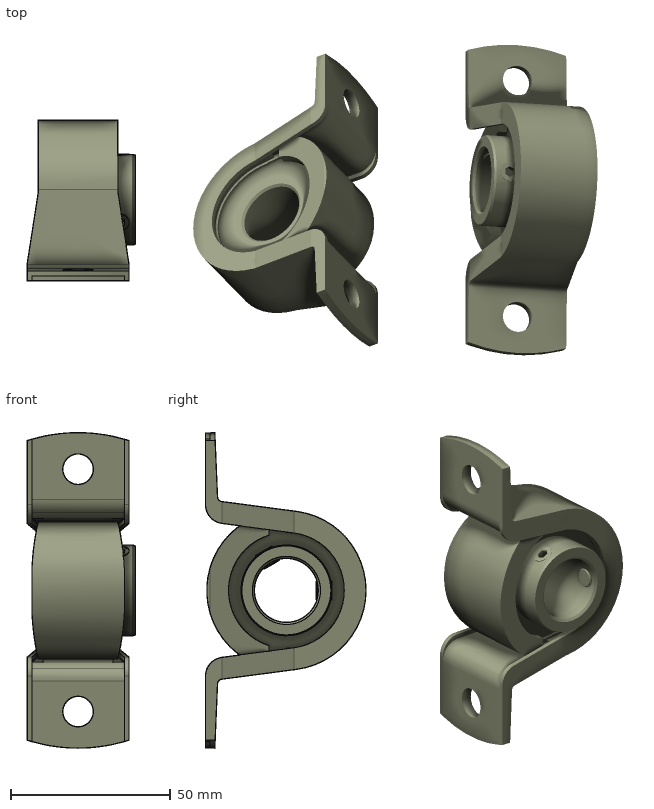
import cadquery as cq
import math


strap_outer_radius = 25.0
strap_inner_radius = 18.15
leg_angle = math.radians(7.5)
base_height = 25.41
foot_span = 99.0
foot_end_radius = 52.0
foot_end_thickness = 3.0
foot_bend_thickness = 3.9
bend_radius = 6.0
back_bend_radius = 1.5
ring_width = 25.0
foot_width = 32.0
sheet = 1.5
bolt_hole_diameter = 9.5
bolt_hole_spacing = 76.0

cradle_radius = 25.0
neck_half_width = ring_width / 2 - sheet
block_half_width = foot_width / 2 - sheet
block_start_y = -5.5
block_taper_end_y = -24.0
lip_half_width = 9.1
lip_thickness = 0.9
ring_wall = 1.5
ring_recess = 0.75
ring_flange_end_y = -2.5

bore_diameter = 20.0
bore_chamfer = 0.7
inner_ring_diameter = 28.5
outer_ring_diameter = 40.5
outer_ring_width = 14.0
collar_end_x = 18.0
collar_chamfer_length = 0.7
collar_chamfer_depth = 0.3

screw_diameter = 6.0
screw_point_diameter = 5.46
screw_x = 13.0
screw_tip_radius = 9.25
screw_head_radius = 14.3
socket_width = 3.0
socket_depth = 2.5
socket_sides = 6
screw_angles = (0.0, 120.0)

panel_radius = strap_inner_radius + sheet
base_y = -base_height
foot_plate_top_y = base_y + sheet
foot_end_z = foot_span / 2
bend_start_y = base_y + bend_radius * (1 - math.sin(leg_angle))
taper_start_y = strap_inner_radius * math.sin(leg_angle)
ring_outer_radius = outer_ring_diameter / 2 + ring_wall
bearing_back_x = -outer_ring_width / 2
margin = 1.0
pick_range = 0.1


def leg_z(radius, y):
    """Height at y of the leg line that is tangent to a circle of this radius."""
    return (radius - y * math.sin(leg_angle)) / math.cos(leg_angle)


def tangent_point(radius):
    """Point where the upper leg line leaves its circle."""
    return radius * math.sin(leg_angle), radius * math.cos(leg_angle)


def below(point):
    """Mirror image of a YZ point on the -Z side."""
    return point[0], -point[1]


def disc(radius, x_start, x_end):
    """Cylinder around the shaft axis."""
    return cq.Workplane("YZ", origin=(x_start, 0, 0)).circle(radius).extrude(x_end - x_start)


def plan_prism(points):
    """Full-height prism over an XY outline given by its +X half, mirrored to -X."""
    outline = points + [(-x, y) for x, y in reversed(points)]
    return cq.Workplane("XY", origin=(0, 0, -foot_span)).polyline(outline).close().extrude(2 * foot_span)


def slab(y_start, y_end, half_width):
    """Full-height box between two Y levels, centred on X."""
    return plan_prism([(half_width, y_end), (half_width, y_start)])


def strap_profile(inner_radius):
    """Omega-shaped strap of full foot width, with its bends rounded."""
    back_end = (base_y + foot_end_thickness, foot_end_z)
    back_bend_y = base_y + foot_bend_thickness
    back_bend = (back_bend_y, leg_z(strap_outer_radius, back_bend_y))
    outer_tangent = tangent_point(strap_outer_radius)
    inner_tangent = tangent_point(inner_radius)
    base_end = (base_y, foot_end_z)
    base_bend = (base_y, leg_z(inner_radius, base_y))
    solid = (
        cq.Workplane("YZ", origin=(-foot_width / 2, 0, 0))
        .moveTo(*base_end)
        .lineTo(*back_end)
        .lineTo(*back_bend)
        .lineTo(*outer_tangent)
        .threePointArc((strap_outer_radius, 0), below(outer_tangent))
        .lineTo(*below(back_bend))
        .lineTo(*below(back_end))
        .lineTo(*below(base_end))
        .lineTo(*below(base_bend))
        .lineTo(*below(inner_tangent))
        .threePointArc((inner_radius, 0), inner_tangent)
        .lineTo(*base_bend)
        .close()
        .extrude(foot_width)
    )
    for corner, radius in ((base_bend, bend_radius), (back_bend, back_bend_radius)):
        for y, z in (corner, below(corner)):
            low = (-pick_range, y - pick_range, z - pick_range)
            high = (pick_range, y + pick_range, z + pick_range)
            bend_edge = cq.selectors.BoxSelector(low, high)
            solid = solid.edges("|X").edges(bend_edge).fillet(radius)
    return solid


def strap_plan(inset):
    """Plan of the strap: narrow at the ring, widening along the legs to the feet."""
    ring_half = ring_width / 2 - inset
    foot_half = foot_width / 2 - inset
    return plan_prism(
        [
            (ring_half, strap_outer_radius + margin),
            (ring_half, taper_start_y),
            (foot_half, bend_start_y),
            (foot_half, base_y - margin),
        ]
    )


def foot_outline():
    """Front outline of the whole strap, with arched foot ends."""
    half = foot_width / 2
    corner_z = foot_end_z - foot_end_radius + math.sqrt(foot_end_radius**2 - half**2)
    depth = 2 * base_height
    return (
        cq.Workplane("XZ", origin=(0, depth, 0))
        .moveTo(-half, -corner_z)
        .lineTo(-half, corner_z)
        .threePointArc((0, foot_end_z), (half, corner_z))
        .lineTo(half, -corner_z)
        .threePointArc((0, -foot_end_z), (-half, -corner_z))
        .close()
        .extrude(2 * depth)
    )


def bolt_holes():
    """Cutting cylinders for the bolt hole in each foot."""
    depth = 2 * base_height
    half_spacing = bolt_hole_spacing / 2
    return (
        cq.Workplane("XZ", origin=(0, depth, 0))
        .pushPoints([(0, half_spacing), (0, -half_spacing)])
        .circle(bolt_hole_diameter / 2)
        .extrude(2 * depth)
    )


def make_housing_blank():
    """Strap with raised side rims, before the cradle is let into it."""
    web = strap_profile(panel_radius)
    rims = strap_profile(strap_inner_radius).cut(strap_plan(sheet))
    return web.union(rims).intersect(strap_plan(0)).intersect(foot_outline()).cut(bolt_holes())


def bearing_seat():
    """Space inside the cradle: the lip opening and the wider bearing seat behind the lips.

    The opening follows the bore below the bearing and the inside of the strap legs above the block.
    """
    seat_half = lip_half_width - lip_thickness
    bore = disc(strap_inner_radius, -foot_width, foot_width)
    between_legs = slab(block_start_y, 0, foot_width).cut(strap_profile(strap_inner_radius))
    between_legs = between_legs.intersect(disc(cradle_radius, -foot_width, foot_width))
    seat = disc(outer_ring_diameter / 2, -seat_half, seat_half)
    return bore.union(between_legs).union(seat)


def make_cradle():
    """Block below the bearing, ring around it, and two necks that lead to the foot plates."""
    web = strap_profile(panel_radius)
    channel = strap_plan(sheet)
    flush = web.intersect(foot_outline()).cut(bolt_holes()).intersect(channel)

    foot_plates = flush.intersect(slab(base_y - margin, foot_plate_top_y, foot_width))
    lining = flush.cut(strap_profile(panel_radius + sheet))
    bends = lining.intersect(slab(foot_plate_top_y, bend_start_y, foot_width))
    necks = lining.intersect(slab(bend_start_y, block_start_y, neck_half_width))

    block_plan = plan_prism(
        [
            (neck_half_width, block_start_y),
            (block_half_width, block_taper_end_y),
            (block_half_width, base_y - margin),
        ]
    )
    block = disc(cradle_radius, -foot_width / 2, foot_width / 2)
    block = block.intersect(block_plan).intersect(slab(-cradle_radius, 0, foot_width)).cut(web)

    ring = disc(ring_outer_radius, -lip_half_width, lip_half_width)
    ring_flange = strap_profile(strap_inner_radius + ring_recess)
    ring_flange = ring_flange.intersect(disc(ring_outer_radius, -neck_half_width, neck_half_width))
    ring_flange = ring_flange.intersect(slab(ring_flange_end_y, strap_outer_radius, neck_half_width))

    cradle = block.union(ring).union(ring_flange).union(necks).cut(bearing_seat())
    return cradle.union(bends, clean=False).union(foot_plates, clean=False)


def place_on_collar(shape, angle):
    """Move a shape built on +Z to the screw station and turn it to its angle about X."""
    return shape.translate((screw_x, 0, 0)).rotate((0, 0, 0), (1, 0, 0), angle - 90)


def make_screw(angle):
    """Hexagon socket set screw, its axis square to the shaft axis."""
    length = screw_head_radius - screw_tip_radius
    chamfer = (screw_diameter - screw_point_diameter) / 2
    half_corner_angle = 180 / socket_sides
    socket = (
        cq.Workplane("XY", origin=(0, 0, length - socket_depth))
        .polygon(socket_sides, socket_width / math.cos(math.radians(half_corner_angle)))
        .extrude(socket_depth)
        .rotate((0, 0, 0), (0, 0, 1), half_corner_angle)
    )
    screw = cq.Workplane("XY").circle(screw_diameter / 2).extrude(length)
    screw = screw.faces("<Z").chamfer(chamfer).cut(socket)
    return place_on_collar(screw.translate((0, 0, screw_tip_radius)), angle)


def make_bearing():
    """Insert bearing with a collar on the +X side that carries the set screws."""
    outer_ring = disc(outer_ring_diameter / 2, bearing_back_x, -bearing_back_x)
    outer_ring = outer_ring.cut(disc(inner_ring_diameter / 2, bearing_back_x, -bearing_back_x))
    inner_ring = disc(inner_ring_diameter / 2, bearing_back_x, collar_end_x)
    inner_ring = inner_ring.faces(">X").chamfer(collar_chamfer_length, collar_chamfer_depth)
    inner_ring = inner_ring.cut(disc(bore_diameter / 2, bearing_back_x, collar_end_x))
    bore_edges = cq.selectors.RadiusNthSelector(0)
    inner_ring = inner_ring.edges("%CIRCLE").edges(bore_edges).chamfer(bore_chamfer)
    hole = cq.Workplane("XY").circle(screw_diameter / 2).extrude(inner_ring_diameter)
    for angle in screw_angles:
        inner_ring = inner_ring.cut(place_on_collar(hole, angle))
    return inner_ring.union(outer_ring, clean=False)


bearing_space = disc(outer_ring_diameter / 2, -lip_half_width, lip_half_width)
cradle = make_cradle()
strap = make_housing_blank().cut(cradle).cut(bearing_space)
bearing = make_bearing()
screws = [make_screw(angle) for angle in screw_angles]

result = cq.Compound.makeCompound(
    [
        strap.solids().val(),
        cradle.solids().val(),
        bearing.solids().val(),
        *[screw.val() for screw in screws],
    ]
)